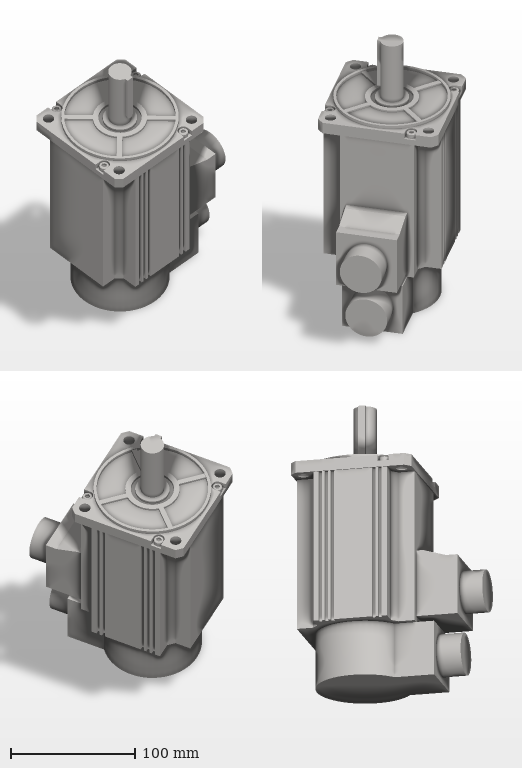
import cadquery as cq
import math

cover_height = 45.2
flange_bottom = 170.7
flange_top = 180.6
pilot_top = 183.7
shaft_top = 235.5

stator_half = 49.0
stator_arm_half = 30.5
corner_chamfer = 5.0
groove_width = 2.8
groove_depth = 3.0
groove_pitch = 5.0
groove_last = 24.7
grooves_minus_y = 3
grooves_plus_y = 2

flange_side = 100.0
flange_chamfer = 5.0
mount_hole_diameter = 9.2
mount_hole_offset = 40.7

screw_offset_along = 27.5
screw_offset_out = 44.7
screw_recess_radius = 4.6
screw_recess_depth = 5.0
screw_head_radius = 4.0
screw_head_height = 4.0
screw_head_chamfer = 0.5
hex_across_flats = 4.0
hex_depth = 2.0

pilot_radius = 47.3
relief_radius = 45.0
relief_depth = 2.8
spoke_drop = 1.0
relief_floor = pilot_top - relief_depth
spoke_top = pilot_top - spoke_drop
spoke_width = 4.2
hub_radius = 22.0
seal_recess_radius = 17.5
seal_recess_depth = 2.4
seal_radius = 14.0
spoke_angles = [45, 135]

cover_radius = 40.0

box_width = 50.5
connector_radius = 17.5
lower_box_end = 63.8
lower_connector_end = 83.8
upper_box_end = 83.1
envelope_depth = 152.0
upper_connector_end = envelope_depth - flange_side / 2
upper_box_bottom = 50.2
upper_box_outer_top = 99.9
upper_box_inner_top = 105.5
upper_slope_start = 54.6
upper_slope_end = 73.7
upper_connector_height = (upper_box_bottom + upper_box_outer_top) / 2
lower_connector_height = 23.0

shaft_radius = 9.5
shoulder_radius = 11.0
key_width = 6.0
key_reach = 11.8
key_bottom = 190.8


def cylinder(radius, bottom, top):
    return cq.Workplane("XY").workplane(offset=bottom).circle(radius).extrude(top - bottom)


def block_along_y(profile_yz, width):
    """Extrude a closed (Y, Z) outline symmetrically about X = 0."""
    return cq.Workplane("YZ").polyline(profile_yz).close().extrude(width / 2, both=True)


def connector(height, start, end):
    """Round connector pointing along +Y."""
    return (
        cq.Workplane("XZ", origin=(0, start, height))
        .circle(connector_radius)
        .extrude(start - end)
    )


def stator():
    height = flange_bottom - cover_height
    base = cq.Workplane("XY").workplane(offset=cover_height)
    body = base.rect(2 * stator_half, 2 * stator_half).extrude(height)
    inner = stator_arm_half
    flat = stator_arm_half + corner_chamfer
    notch = base.polyline([
        (stator_half, inner),
        (flat, inner),
        (inner, flat),
        (inner, stator_half),
        (stator_half, stator_half),
    ]).close().extrude(height)
    for quarter in range(4):
        body = body.cut(notch.rotate((0, 0, 0), (0, 0, 1), 90 * quarter))
    minus_y = [-groove_last + groove_pitch * i for i in range(grooves_minus_y)]
    plus_y = [groove_last - groove_pitch * i for i in range(grooves_plus_y)]
    places = [(side * stator_half, y) for side in (-1, 1) for y in minus_y + plus_y]
    grooves = base.pushPoints(places).rect(2 * groove_depth, groove_width).extrude(height)
    return body.cut(grooves)


def flange():
    mount_holes = [
        (x * mount_hole_offset, y * mount_hole_offset) for x in (-1, 1) for y in (-1, 1)
    ]
    return (
        cq.Workplane("XY").workplane(offset=flange_bottom)
        .rect(flange_side, flange_side)
        .extrude(flange_top - flange_bottom)
        .edges("|Z").chamfer(flange_chamfer)
        .faces(">Z").workplane()
        .pushPoints(mount_holes)
        .hole(mount_hole_diameter)
    )


def screw_recess():
    """Recess for the +X screw: round end, open to the flange edge."""
    floor = flange_top - screw_recess_depth
    place = (screw_offset_out, screw_offset_along)
    open_length = flange_side / 2 - screw_offset_out
    base = cq.Workplane("XY").workplane(offset=floor)
    round_end = base.center(*place).circle(screw_recess_radius).extrude(screw_recess_depth)
    opening = (
        base.center(place[0] + open_length / 2, place[1])
        .rect(open_length, 2 * screw_recess_radius)
        .extrude(screw_recess_depth)
    )
    return round_end.union(opening)


def screw_head():
    """Socket head of the +X screw, standing on its recess floor."""
    hex_diameter = 2 * hex_across_flats / math.sqrt(3)
    return (
        cq.Workplane("XY").workplane(offset=flange_top - screw_recess_depth)
        .center(screw_offset_out, screw_offset_along)
        .circle(screw_head_radius)
        .extrude(screw_head_height)
        .faces(">Z").chamfer(screw_head_chamfer)
        .faces(">Z").workplane()
        .transformed(rotate=(0, 0, 90))
        .polygon(6, hex_diameter)
        .cutBlind(-hex_depth)
    )


def pilot():
    """Disc hollowed out around a hub and two crossing spokes."""
    disc = cylinder(pilot_radius, flange_top, pilot_top)
    disc = disc.cut(cylinder(relief_radius, relief_floor, pilot_top))
    relief = cylinder(relief_radius, relief_floor, spoke_top)
    for angle in spoke_angles:
        spoke = (
            cq.Workplane("XY").workplane(offset=relief_floor)
            .rect(2 * pilot_radius, spoke_width)
            .extrude(spoke_top - relief_floor)
            .rotate((0, 0, 0), (0, 0, 1), angle)
        )
        disc = disc.union(spoke.intersect(relief))
    return disc.union(cylinder(hub_radius, relief_floor, spoke_top))


def seal_recess():
    """Ring-shaped recess between the hub and the seal."""
    floor = spoke_top - seal_recess_depth
    seal = cylinder(seal_radius, floor, spoke_top)
    return cylinder(seal_recess_radius, floor, spoke_top).cut(seal)


def rear_cover():
    box = block_along_y(
        [(0, 0), (lower_box_end, 0), (lower_box_end, cover_height), (0, cover_height)], box_width
    )
    plug = connector(lower_connector_height, lower_box_end, lower_connector_end)
    return cylinder(cover_radius, 0, cover_height).union(box).union(plug)


def power_box():
    box = block_along_y([
        (stator_half, upper_box_bottom),
        (upper_box_end, upper_box_bottom),
        (upper_box_end, upper_box_outer_top),
        (upper_slope_end, upper_box_outer_top),
        (upper_slope_start, upper_box_inner_top),
        (stator_half, upper_box_inner_top),
    ], box_width)
    return box.union(connector(upper_connector_height, upper_box_end, upper_connector_end))


def make_housing():
    top = flange().union(pilot()).cut(seal_recess())
    recess = screw_recess()
    head = screw_head()
    for quarter in range(4):
        turn = ((0, 0, 0), (0, 0, 1), 90 * quarter)
        top = top.cut(recess.rotate(*turn)).union(head.rotate(*turn))
    body = stator().union(top).union(rear_cover()).union(power_box())
    return body.cut(cylinder(shoulder_radius, flange_bottom, spoke_top))


def make_shaft():
    body = cylinder(shoulder_radius, flange_bottom, spoke_top)
    body = body.union(cylinder(shaft_radius, spoke_top, shaft_top))
    round_center = key_bottom + key_width / 2
    key = (
        cq.Workplane("YZ")
        .moveTo(-key_width / 2, shaft_top)
        .lineTo(-key_width / 2, round_center)
        .threePointArc((0, key_bottom), (key_width / 2, round_center))
        .lineTo(key_width / 2, shaft_top)
        .close()
        .extrude(key_reach)
    )
    return body.union(key)


housing = make_housing()
shaft = make_shaft()
result = cq.Compound.makeCompound([housing.val(), shaft.val()])